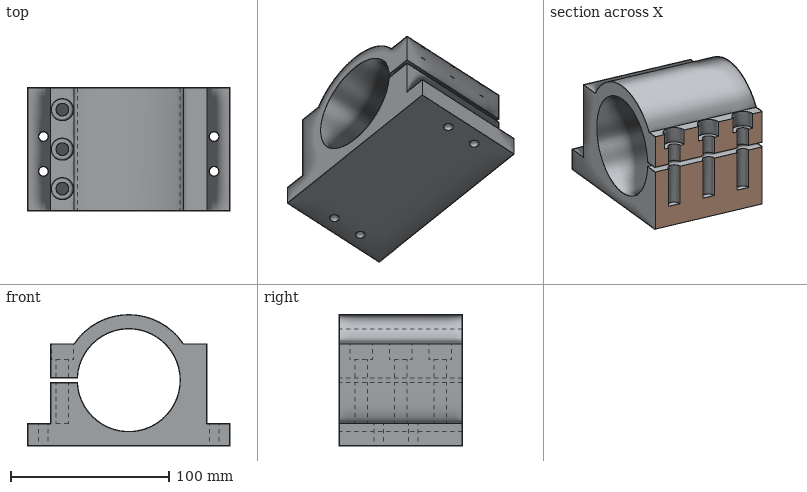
import cadquery as cq
import math

base_width = 128.0
base_thickness = 14.0
length = 78.0

body_width = 99.0
shoulder_height = 64.5
bore_diameter = 65.0
crown_radius = 41.5
bore_height = 41.5
slot_gap = 3.0

screw_x = -42.0
screw_pitch = 25.0
screw_count = 3
screw_hole_diameter = 8.0
screw_hole_bottom = base_thickness
counterbore_diameter = 14.0
counterbore_depth = 10.0

mount_hole_diameter = 6.0
mount_spacing_x = 108.0
mount_spacing_y = 22.0
mount_offset_y = -3.0


def make_body():
    """Flanged block with a rounded crown, extruded both ways along Y."""
    half_base = base_width / 2
    half_body = body_width / 2
    crown_rise = shoulder_height - bore_height
    crown_half_width = math.sqrt(crown_radius**2 - crown_rise**2)
    return (
        cq.Workplane("XZ")
        .moveTo(-half_base, 0)
        .lineTo(half_base, 0)
        .lineTo(half_base, base_thickness)
        .lineTo(half_body, base_thickness)
        .lineTo(half_body, shoulder_height)
        .lineTo(crown_half_width, shoulder_height)
        .threePointArc((0, bore_height + crown_radius), (-crown_half_width, shoulder_height))
        .lineTo(-half_body, shoulder_height)
        .lineTo(-half_body, base_thickness)
        .lineTo(-half_base, base_thickness)
        .close()
        .extrude(length / 2, both=True)
    )


def make_bore():
    """Horizontal through bore along Y, its seam turned to -X where the slot removes it."""
    return (
        cq.Workplane("XZ")
        .center(0, bore_height)
        .transformed(rotate=(0, 0, 180))
        .circle(bore_diameter / 2)
        .extrude(length / 2, both=True)
    )


def make_clamp_slot():
    """Gap from the bore axis out through the -X side, splitting the two jaws."""
    slot_depth = body_width / 2
    slot_centre = (-slot_depth / 2, 0, bore_height)
    return cq.Workplane("XY").box(slot_depth, length, slot_gap).translate(slot_centre)


def vertical_holes(points, diameter, bottom, top):
    """Vertical cylinders at the given XY points."""
    return (
        cq.Workplane("XY", origin=(0, 0, bottom))
        .pushPoints(points)
        .circle(diameter / 2)
        .extrude(top - bottom)
    )


def make_screw_holes():
    """Row of counterbored screw holes on the slotted side."""
    first_y = -screw_pitch * (screw_count - 1) / 2
    points = [(screw_x, first_y + i * screw_pitch) for i in range(screw_count)]
    counterbore_floor = shoulder_height - counterbore_depth
    shanks = vertical_holes(points, screw_hole_diameter, screw_hole_bottom, shoulder_height)
    heads = vertical_holes(points, counterbore_diameter, counterbore_floor, shoulder_height)
    return shanks.union(heads)


def make_mount_holes():
    """Four through holes, two in each flange."""
    points = [
        (side * mount_spacing_x / 2, mount_offset_y + end * mount_spacing_y / 2)
        for side in (-1, 1)
        for end in (-1, 1)
    ]
    return vertical_holes(points, mount_hole_diameter, 0, base_thickness)


result = (
    make_body()
    .cut(make_bore())
    .cut(make_clamp_slot())
    .cut(make_screw_holes())
    .cut(make_mount_holes())
)